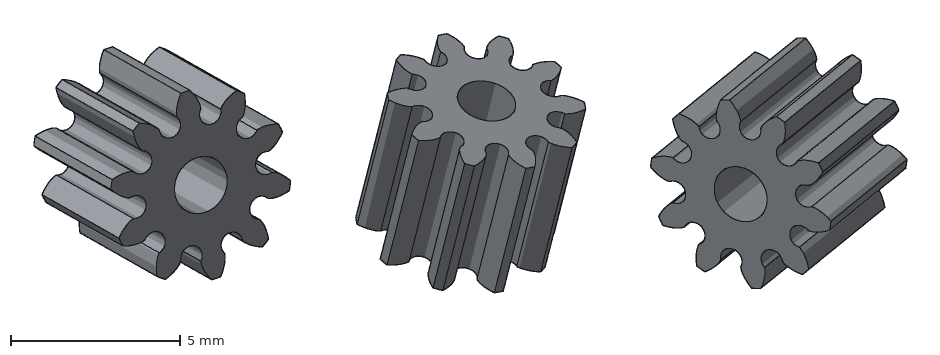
import cadquery as cq
import math

TOOTH_COUNT = 10
PITCH_RADIUS = 2.5
PRESSURE_ANGLE = math.radians(20)
TIP_RADIUS = 2.995
ROOT_RADIUS = 1.85
BORE_DIAMETER = 1.75
FACE_WIDTH = 5.0
FLANK_ARC_COUNT = 5
FLANK_ARC_ROLL = math.radians(8.3)

BASE_RADIUS = PITCH_RADIUS * math.cos(PRESSURE_ANGLE)
TOOTH_PITCH = 2 * math.pi / TOOTH_COUNT
PITCH_INVOLUTE = math.tan(PRESSURE_ANGLE) - PRESSURE_ANGLE
BASE_HALF_ANGLE = TOOTH_PITCH / 4 + PITCH_INVOLUTE
TIP_ROLL = math.sqrt((TIP_RADIUS / BASE_RADIUS) ** 2 - 1)

FIRST_TOOTH_ANGLE = TOOTH_PITCH / 2 - BASE_HALF_ANGLE


def polar(radius, angle):
    """Point in the YZ plane, with the angle measured from -Y towards +Z."""
    return (-radius * math.cos(angle), radius * math.sin(angle))


def involute_point(roll, tooth_angle, side):
    """Point on a tooth flank; side is -1 below or +1 above the tooth centre line."""
    radius = BASE_RADIUS * math.sqrt(1 + roll**2)
    half_angle = BASE_HALF_ANGLE - (roll - math.atan(roll))
    return polar(radius, tooth_angle + side * half_angle)


def add_flank(outline, rolls, tooth_angle, side):
    """Extend the outline along the involute with one arc between each two neighbouring rolls."""
    for start_roll, end_roll in zip(rolls, rolls[1:]):
        middle = involute_point((start_roll + end_roll) / 2, tooth_angle, side)
        end = involute_point(end_roll, tooth_angle, side)
        outline = outline.threePointArc(middle, end)
    return outline


def gear_outline():
    """Closed outline of all teeth joined by round gullets."""
    rolls_outward = [arc * FLANK_ARC_ROLL for arc in range(FLANK_ARC_COUNT)] + [TIP_ROLL]
    rolls_inward = rolls_outward[::-1]
    outline = cq.Workplane("YZ").moveTo(*involute_point(0, FIRST_TOOTH_ANGLE, -1))
    for tooth in range(TOOTH_COUNT):
        tooth_angle = FIRST_TOOTH_ANGLE + tooth * TOOTH_PITCH
        outline = add_flank(outline, rolls_outward, tooth_angle, -1)
        tip_middle = polar(TIP_RADIUS, tooth_angle)
        outline = outline.threePointArc(tip_middle, involute_point(TIP_ROLL, tooth_angle, 1))
        outline = add_flank(outline, rolls_inward, tooth_angle, 1)
        gullet_bottom = polar(ROOT_RADIUS, tooth_angle + TOOTH_PITCH / 2)
        next_tooth_base = involute_point(0, tooth_angle + TOOTH_PITCH, -1)
        outline = outline.threePointArc(gullet_bottom, next_tooth_base)
    return outline.close()


gear_blank = gear_outline().extrude(FACE_WIDTH)
bore = cq.Workplane("YZ").circle(BORE_DIAMETER / 2).extrude(FACE_WIDTH)
result = gear_blank.cut(bore)